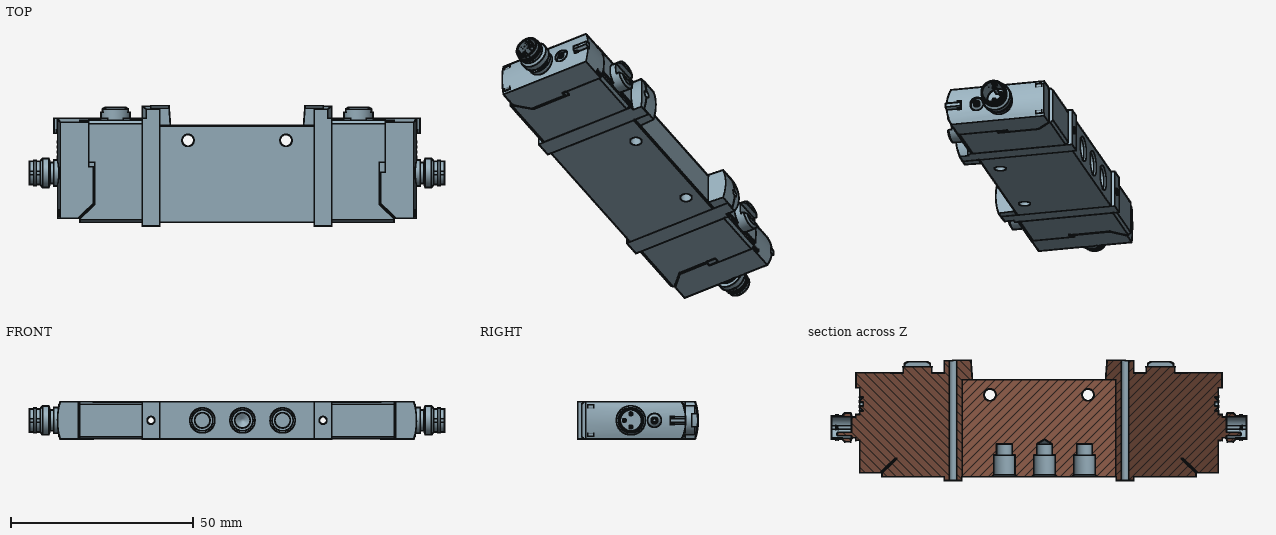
import cadquery as cq
import math


total_length = 113.9
thickness = 10.25
half_thickness = thickness / 2

body_half_length = 21.15
body_depth = 26.7
body_edge_chamfer = 0.3
port_pitch = 11.0
port_row_center_x = 1.5
port_countersink_dia = 6.9
port_bore_dia = 5.8
port_bore_depth = 6.0
port_drill_dia = 4.2
port_drill_depth = 9.0
drill_point_angle = 118
mount_hole_dia = 3.2
mount_hole_half_spacing = 13.45
mount_hole_y = 22.5

collar_width = 4.9
collar_outer_x = -(body_half_length + collar_width)
collar_center_x = -(body_half_length + collar_width / 2)
collar_front_y = -1.05
collar_top_y = 31.9
collar_end_start_y = 28.5
collar_end_sagitta = 1.15
back_crown_sagitta = 0.8
lug_top_y = 32.05
lug_half_thickness = half_thickness - 0.05
lug_overhang = 2.9
lug_tip_taper = 0.4
collar_hole_dia = 2.0

coil_half_thickness = half_thickness - 0.05
coil_end_x = -43.1
coil_front_chamfer_y = 0.75
coil_back_chamfer_y = 0.95
coil_chamfer_z = 0.65
coil_back_y = 28.0
coil_strip_half_width = 3.4
coil_strip_top_y = 28.5

cap_end_x = -49.25
cap_end_sagitta = 0.7
cap_root_x = cap_end_x + 2 * cap_end_sagitta
cap_front_y = 1.1
cap_back_y = 28.6
cap_back_sagitta = 1.1
cap_seam_x = -40.7
cap_nose_x = -39.05
cap_nose_corner_y = 5.0
seam_gap = 0.45
seam_depth = 0.6
notch_start_y = 16.5
notch_depth = 0.3
notch_length_above = 1.2
notch_length_below = 2.8

knob_dia = 8.0
knob_x = -33.35
knob_top_y = 31.65
knob_edge_chamfer_height = 0.55
knob_edge_chamfer_width = 0.9
knob_slot_width = 3.6
knob_slot_depth = 1.4

latch_outer_x = -50.25
latch_half_width = 1.0
latch_face_half_width = 0.5
latch_length = 4.2
latch_foot_length = 1.0
latch_foot_half_width = 1.2
latch_foot_height = 0.4
screw_y = 20.0
screw_recess_dia = 3.8
screw_recess_depth = 1.0
screw_tip_dia = 1.8
screw_socket_dia = 1.0
pad_y_range = (1.65, 3.4)
pad_half_height = 4.35
pad_edge_half_height = 3.5

connector_y = 13.55
connector_tip_x = -total_length / 2
tip_dia = 6.5
ring_dia = 6.9
neck_dia = 5.8
shoulder_dia = 8.0
flange_dia = 7.2
ring_start_x = -55.8
ring_end_x = -55.05
cone_start_x = -54.0
shoulder_start_x = -53.35
shoulder_end_x = -51.65
neck_start_x = -51.3
flange_start_x = -50.3
socket_dia = 5.8
socket_depth = 5.5
pin_dia = 1.0
pin_circle_radius = 1.8
pin_angles = (-90, 0, 90)
pin_length = 4.0
pin_tip_chamfer = 0.25
key_slot_width = 1.0
key_slot_outer_radius = 3.1
key_slot_depth = 3.0


def box(x_range, y_range, z_range):
    """Box between the given limits on each axis."""
    size = [high - low for low, high in (x_range, y_range, z_range)]
    corner = cq.Vector(x_range[0], y_range[0], z_range[0])
    return cq.Workplane(cq.Solid.makeBox(*size, corner))


def cylinder_along(axis, dia, start, length):
    """Cylinder that starts at the given point and runs along the axis."""
    return cq.Workplane(cq.Solid.makeCylinder(dia / 2, length, cq.Vector(*start), cq.Vector(*axis)))


def cone_along(axis, start_dia, end_dia, start, length):
    """Cone or frustum that starts at the given point and runs along the axis."""
    place = (cq.Vector(*start), cq.Vector(*axis))
    return cq.Workplane(cq.Solid.makeCone(start_dia / 2, end_dia / 2, length, *place))


def port_cutter(x, pointed):
    """Countersunk stepped port; a pointed port ends in a drill cone, the others are flat."""
    into = (0, 1, 0)
    sink_depth = (port_countersink_dia - port_bore_dia) / 2
    cutter = cylinder_along(into, port_bore_dia, (x, 0, 0), port_bore_depth)
    cutter = cutter.union(cone_along(into, port_countersink_dia, port_bore_dia, (x, 0, 0), sink_depth))
    cutter = cutter.union(cylinder_along(into, port_drill_dia, (x, 0, 0), port_drill_depth))
    if pointed:
        point_length = port_drill_dia / 2 / math.tan(math.radians(drill_point_angle / 2))
        cutter = cutter.union(cone_along(into, port_drill_dia, 0, (x, port_drill_depth, 0), point_length))
    return cutter


def make_valve_body():
    body = box(
        (-body_half_length, body_half_length),
        (0, body_depth),
        (-half_thickness, half_thickness),
    )
    body = body.faces(">Y").edges("|X").chamfer(body_edge_chamfer)
    for step in (-1, 0, 1):
        body = body.cut(port_cutter(port_row_center_x + step * port_pitch, pointed=step == 0))
    for side in (-1, 1):
        hole_start = (side * mount_hole_half_spacing, mount_hole_y, -half_thickness)
        body = body.cut(cylinder_along((0, 0, 1), mount_hole_dia, hole_start, thickness))
    return body


def crowned_prism(x_range, front_y, top_y, half_height, sagitta):
    """Prism along X whose back (+Y) face is an arc that peaks at top_y on the mid plane."""
    start_x, end_x = x_range
    return (
        cq.Workplane("YZ", origin=(start_x, 0, 0))
        .moveTo(front_y, -half_height)
        .lineTo(top_y - sagitta, -half_height)
        .threePointArc((top_y, 0), (top_y - sagitta, half_height))
        .lineTo(front_y, half_height)
        .close()
        .extrude(end_x - start_x)
    )


def make_lug():
    """Crowned lug that reaches over the back of the valve body, with a tapered inner end."""
    root_x = -body_half_length + lug_overhang
    lug = crowned_prism(
        (collar_center_x, root_x), body_depth, lug_top_y, lug_half_thickness, back_crown_sagitta
    )
    taper_waste = (
        cq.Workplane("XY")
        .moveTo(root_x, body_depth)
        .lineTo(root_x, lug_top_y)
        .lineTo(root_x - lug_tip_taper, lug_top_y)
        .close()
        .extrude(half_thickness, both=True)
    )
    return lug.cut(taper_waste)


def make_collar():
    """Crowned plate across the full depth, with its lug and a hole along Y."""
    plate = crowned_prism(
        (collar_outer_x, -body_half_length), collar_front_y, collar_top_y, half_thickness, back_crown_sagitta
    )
    edge_x = collar_outer_x + collar_end_sagitta
    beyond_x = collar_outer_x - collar_end_sagitta
    rounded_end_waste = (
        cq.Workplane("XZ", origin=(0, collar_end_start_y, 0))
        .moveTo(edge_x, -half_thickness)
        .threePointArc((collar_outer_x, 0), (edge_x, half_thickness))
        .lineTo(beyond_x, half_thickness)
        .lineTo(beyond_x, -half_thickness)
        .close()
        .extrude(collar_end_start_y - lug_top_y)
    )
    hole_start = (collar_center_x, collar_front_y, 0)
    hole = cylinder_along((0, 1, 0), collar_hole_dia, hole_start, lug_top_y - collar_front_y)
    return plate.cut(rounded_end_waste).union(make_lug()).cut(hole)


def make_coil():
    """Chamfered coil housing between the cap and the collar, with a raised strip at the back."""
    z_top = coil_half_thickness
    z_shoulder = coil_half_thickness - coil_chamfer_z
    coil = (
        cq.Workplane("YZ", origin=(coil_end_x, 0, 0))
        .moveTo(0, -z_shoulder)
        .lineTo(coil_front_chamfer_y, -z_top)
        .lineTo(coil_back_y - coil_back_chamfer_y, -z_top)
        .lineTo(coil_back_y, -z_shoulder)
        .lineTo(coil_back_y, z_shoulder)
        .lineTo(coil_back_y - coil_back_chamfer_y, z_top)
        .lineTo(coil_front_chamfer_y, z_top)
        .lineTo(0, z_shoulder)
        .close()
        .extrude(collar_outer_x - coil_end_x)
    )
    strip = box(
        (cap_seam_x, collar_outer_x),
        (coil_back_y, coil_strip_top_y),
        (-coil_strip_half_width, coil_strip_half_width),
    )
    return coil.union(strip)


def make_cap():
    """Cap with crowned end and back faces and a slanted corner towards the coil."""
    outline = (
        cq.Workplane("XY")
        .moveTo(cap_end_x, cap_front_y)
        .lineTo(coil_end_x, cap_front_y)
        .lineTo(cap_nose_x, cap_nose_corner_y)
        .lineTo(cap_nose_x, notch_start_y)
        .lineTo(cap_seam_x, notch_start_y)
        .lineTo(cap_seam_x, cap_back_y)
        .lineTo(cap_end_x, cap_back_y)
        .close()
        .extrude(half_thickness, both=True)
    )
    end_edge_x = cap_end_x + cap_end_sagitta
    crowned_end = (
        cq.Workplane("XZ")
        .moveTo(cap_nose_x, -half_thickness)
        .lineTo(end_edge_x, -half_thickness)
        .threePointArc((cap_end_x, 0), (end_edge_x, half_thickness))
        .lineTo(cap_nose_x, half_thickness)
        .close()
        .extrude(-cap_back_y)
    )
    crowned_back = crowned_prism(
        (cap_end_x, cap_nose_x), 0, cap_back_y, half_thickness, cap_back_sagitta
    )
    return outline.intersect(crowned_end).intersect(crowned_back)


def make_seam_cutter():
    """Open slit along the slanted corner, grooves along the nose, and a notch in each face."""
    slit = (
        cq.Workplane("XY")
        .moveTo(coil_end_x, cap_front_y)
        .lineTo(cap_nose_x, cap_nose_corner_y)
        .lineTo(cap_nose_x - seam_gap, cap_nose_corner_y)
        .lineTo(coil_end_x - seam_gap, cap_front_y)
        .close()
        .extrude(half_thickness, both=True)
    )
    cutter = slit
    for side, notch_length in ((1, notch_length_above), (-1, notch_length_below)):
        surface_z = side * half_thickness
        groove_z = sorted((surface_z - side * seam_depth, surface_z))
        notch_z = sorted((surface_z - side * notch_depth, surface_z))
        groove_y = (cap_nose_corner_y, notch_start_y - notch_length)
        cutter = cutter.union(box((cap_nose_x - seam_gap, cap_nose_x), groove_y, groove_z))
        notch_y = (notch_start_y - notch_length, notch_start_y)
        cutter = cutter.union(box((cap_seam_x, cap_nose_x), notch_y, notch_z))
    return cutter


def make_knob():
    """Slotted manual override knob that stands on the back of the coil."""
    height = knob_top_y - coil_back_y
    knob = cylinder_along((0, 1, 0), knob_dia, (knob_x, coil_back_y, 0), height)
    knob = knob.faces(">Y").edges().chamfer(knob_edge_chamfer_height, knob_edge_chamfer_width)
    slot = box(
        (knob_x - knob_dia / 2, knob_x + knob_dia / 2),
        (knob_top_y - knob_slot_depth, knob_top_y),
        (-knob_slot_width / 2, knob_slot_width / 2),
    )
    return knob.cut(slot)


def make_latch():
    """Tapered rib at the back of the cap end, with a wider foot at its front tip."""
    root_x = cap_end_x + cap_end_sagitta
    rib = (
        cq.Workplane("XZ", origin=(0, cap_back_y, 0))
        .moveTo(root_x, -latch_half_width)
        .lineTo(cap_end_x, -latch_half_width)
        .lineTo(latch_outer_x, -latch_face_half_width)
        .lineTo(latch_outer_x, latch_face_half_width)
        .lineTo(cap_end_x, latch_half_width)
        .lineTo(root_x, latch_half_width)
        .close()
        .extrude(latch_length)
    )
    foot_end_y = cap_back_y - latch_length
    foot = box(
        (cap_end_x - latch_foot_height, root_x),
        (foot_end_y, foot_end_y + latch_foot_length),
        (-latch_foot_half_width, latch_foot_half_width),
    )
    return rib.union(foot)


def make_end_pad():
    """Flat pad that emerges from the crowned cap end only near the top and bottom edges."""
    surface_drop = cap_end_sagitta * (pad_edge_half_height / half_thickness) ** 2
    return box(
        (cap_end_x + surface_drop, cap_root_x),
        pad_y_range,
        (-pad_half_height, pad_half_height),
    )


def make_screw_cutter():
    """Round recess around a cone-tipped screw with a small socket."""
    start = (cap_end_x, screw_y, 0)
    inward = (1, 0, 0)
    recess = cylinder_along(inward, screw_recess_dia, start, screw_recess_depth)
    screw = cone_along(inward, screw_tip_dia, screw_recess_dia, start, screw_recess_depth)
    socket = cylinder_along(inward, screw_socket_dia, start, screw_recess_depth)
    return recess.cut(screw).union(socket)


def make_connector():
    """Three-pin round plug connector on the cap end."""
    stations = [
        (connector_tip_x, tip_dia),
        (ring_start_x, tip_dia),
        (ring_start_x, ring_dia),
        (ring_end_x, ring_dia),
        (ring_end_x, tip_dia),
        (cone_start_x, tip_dia),
        (shoulder_start_x, shoulder_dia),
        (shoulder_end_x, shoulder_dia),
        (neck_start_x, neck_dia),
        (flange_start_x, neck_dia),
        (flange_start_x, flange_dia),
        (cap_root_x, flange_dia),
    ]
    profile = cq.Workplane("XY", origin=(0, connector_y, 0)).moveTo(connector_tip_x, 0)
    for x, dia in stations:
        profile = profile.lineTo(x, dia / 2)
    connector = profile.lineTo(cap_root_x, 0).close().revolve(360, (0, 0, 0), (1, 0, 0))

    tip_center = (connector_tip_x, connector_y, 0)
    connector = connector.cut(cylinder_along((1, 0, 0), socket_dia, tip_center, socket_depth))
    pin_start_x = connector_tip_x + socket_depth - pin_length
    key_slot = box(
        (connector_tip_x, connector_tip_x + key_slot_depth),
        (connector_y - key_slot_outer_radius, connector_y),
        (-key_slot_width / 2, key_slot_width / 2),
    )
    pin_start = (pin_start_x, connector_y - pin_circle_radius, 0)
    pin = cylinder_along((1, 0, 0), pin_dia, pin_start, pin_length)
    pin = pin.faces("<X").edges().chamfer(pin_tip_chamfer)
    axis_end = (connector_tip_x + 1, connector_y, 0)
    for angle in pin_angles:
        connector = connector.cut(key_slot.rotate(tip_center, axis_end, angle))
    for angle in pin_angles:
        connector = connector.union(pin.rotate(tip_center, axis_end, angle))
    return connector


def make_pilot_head():
    head = make_coil().union(make_cap()).cut(make_seam_cutter())
    head = head.cut(make_screw_cutter())
    for feature in (make_collar(), make_knob(), make_latch(), make_end_pad(), make_connector()):
        head = head.union(feature)
    return head


valve_body = make_valve_body()
left_head = make_pilot_head()
pilot_heads = [left_head.rotate((0, 0, 0), (0, 1, 0), angle) for angle in (0, 180)]

result = cq.Compound.makeCompound([valve_body.val(), *[head.val() for head in pilot_heads]])